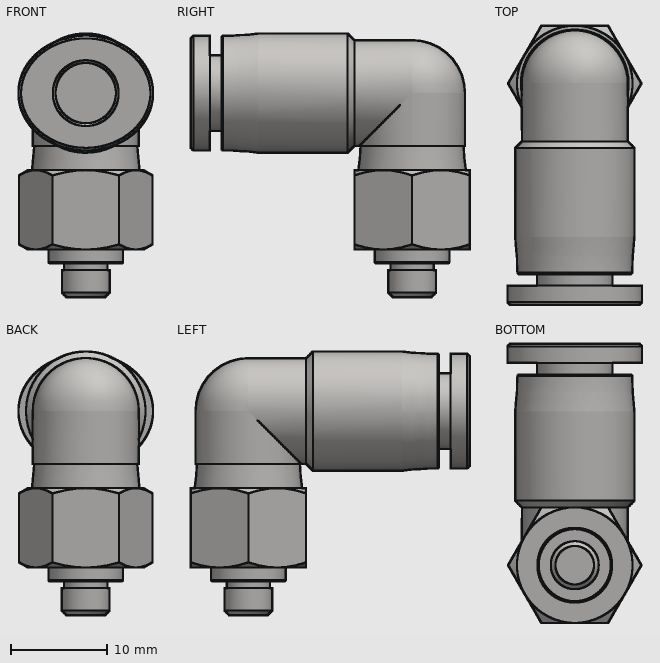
import cadquery as cq
import math


elbow_radius = 5.5

socket_start = 6.0
socket_shoulder = 6.7
socket_taper_start = 15.95
socket_taper_end = 17.98
socket_end = 19.8
socket_radius = 6.2
socket_taper_radius = 6.03
socket_end_radius = 5.97
socket_chamfer = 0.17

sleeve_radius = 3.95
ring_start = 21.0
ring_end = 23.0
ring_half_width = 7.004
ring_half_height = 5.97
ring_chamfer = 0.3
bore_radius = 3.13
bore_chamfer = 0.3

skirt_top_radius = 5.36
skirt_bottom_radius = 5.6
hex_top = 8.0
hex_bottom = 16.25
hex_flats = 12.0
hex_chamfer_angle = 30

collar_bottom = 17.7
collar_radius = 3.9
collar_chamfer = 0.15
neck_bottom = 18.4
neck_radius = 2.25
stud_bottom = 21.2
stud_radius = 2.5
stud_chamfer = 0.5


def revolve_profile(points):
    """Revolve (radius, height) points about the Z axis."""
    return cq.Workplane("XZ").polyline(points).close().revolve(360, (0, 0, 0), (0, 1, 0))


def along_socket(solid):
    """Turn a solid built along +Z so that it points along -Y."""
    return solid.rotate((0, 0, 0), (1, 0, 0), 90)


def make_elbow():
    drop = cq.Workplane("XY").circle(elbow_radius).extrude(-elbow_radius)
    arm = cq.Workplane("XZ").circle(elbow_radius).extrude(socket_start)
    corner = cq.Workplane("XY").sphere(elbow_radius)
    return drop.union(arm).union(corner)


def make_socket():
    return along_socket(revolve_profile([
        (0, socket_start),
        (elbow_radius, socket_start),
        (socket_radius, socket_shoulder),
        (socket_radius, socket_taper_start),
        (socket_taper_radius, socket_taper_end),
        (socket_end_radius, socket_end - socket_chamfer),
        (socket_end_radius - socket_chamfer, socket_end),
        (sleeve_radius, socket_end),
        (sleeve_radius, ring_start),
        (0, ring_start),
    ]))


def make_ring():
    plate = (
        cq.Workplane("XY", origin=(0, 0, ring_start))
        .ellipse(ring_half_width, ring_half_height)
        .extrude(ring_end - ring_start)
        .faces(">Z")
        .chamfer(ring_chamfer)
    )
    return along_socket(plate)


def make_bore():
    return along_socket(revolve_profile([
        (0, socket_start),
        (bore_radius, socket_start),
        (bore_radius, ring_end - bore_chamfer),
        (bore_radius + bore_chamfer, ring_end),
        (0, ring_end),
    ]))


def make_hexagon():
    """Hexagon with corners on the X axis, both ends turned to a conical chamfer."""
    corner_radius = hex_flats / 2 / math.cos(math.pi / 6)
    chamfer_radius = hex_flats / 2
    chamfer_height = (corner_radius - chamfer_radius) * math.tan(math.radians(hex_chamfer_angle))
    prism = (
        cq.Workplane("XY", origin=(0, 0, -hex_bottom))
        .polygon(6, 2 * corner_radius)
        .extrude(hex_bottom - hex_top)
    )
    turned_blank = revolve_profile([
        (0, -hex_bottom),
        (chamfer_radius, -hex_bottom),
        (corner_radius, -hex_bottom + chamfer_height),
        (corner_radius, -hex_top - chamfer_height),
        (chamfer_radius, -hex_top),
        (0, -hex_top),
    ])
    return prism.intersect(turned_blank)


def make_skirt():
    return revolve_profile([
        (0, -elbow_radius),
        (skirt_top_radius, -elbow_radius),
        (skirt_bottom_radius, -hex_top),
        (0, -hex_top),
    ])


def make_stud():
    return revolve_profile([
        (0, -hex_bottom),
        (collar_radius, -hex_bottom),
        (collar_radius, -collar_bottom + collar_chamfer),
        (collar_radius - collar_chamfer, -collar_bottom),
        (neck_radius, -collar_bottom),
        (neck_radius, -neck_bottom),
        (stud_radius, -neck_bottom),
        (stud_radius, -stud_bottom + stud_chamfer),
        (stud_radius - stud_chamfer, -stud_bottom),
        (0, -stud_bottom),
    ])


result = (
    make_elbow()
    .union(make_socket())
    .union(make_ring())
    .union(make_skirt())
    .union(make_hexagon())
    .union(make_stud())
    .cut(make_bore())
)